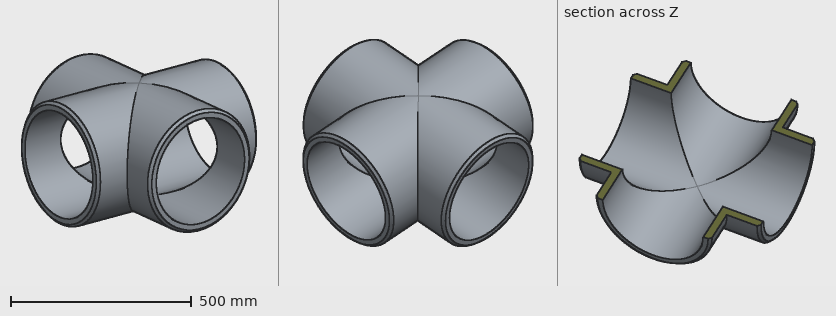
import cadquery as cq

length = 558.0
outer_diameter = 356.0
bore_diameter = 308.0
end_chamfer = 8.5


def centred_cylinder(plane, diameter):
    """Cylinder of full cross length, centred on the origin, normal to the plane."""
    return cq.Workplane(plane).circle(diameter / 2).extrude(length / 2, both=True)


def pipe_body(plane):
    """Solid run of pipe with both outer end edges chamfered."""
    return centred_cylinder(plane, outer_diameter).edges("%CIRCLE").chamfer(end_chamfer)


body = pipe_body("YZ").union(pipe_body("XZ"))

result = body.cut(centred_cylinder("YZ", bore_diameter)).cut(centred_cylinder("XZ", bore_diameter))